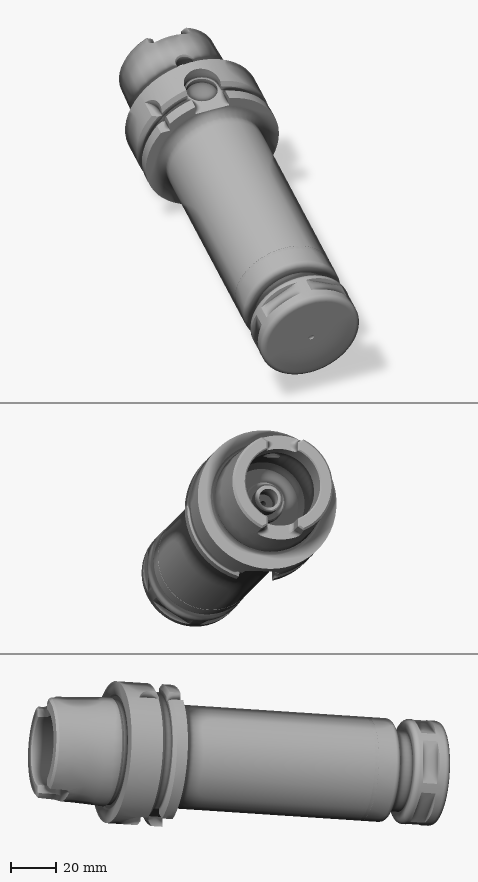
import cadquery as cq
import math

total_length = 182.0
overcut = 1.8

shank_end_chamfer = 1.1
mouth_edge_drop = 1.0
taper_end_x = 29.7
taper_large_radius = 24.2
taper_ratio = 0.05
relief_start_x = 30.8
relief_radius = 23.5
relief_face_depth = 0.4
relief_face_inner_radius = 25.0
relief_face_outer_radius = 25.7

flange_x = 31.8
flange_end_x = 57.9
flange_radius = 31.5
groove_start_x = 47.9
groove_end_x = 51.5
groove_radius = 27.3
groove_chamfer_length = 1.5
groove_chamfer_depth = 2.0

body_radius = 46.0 / 2
body_end_x = 159.0
body_end_round = 2.2
root_fillet = 3.1
ring_start_x = 147.0
ring_end_x = 148.7
ring_depth = 0.1
neck_radius = 18.0
nut_x = 165.6
nut_radius = 23.3
nut_back_round = 2.2
nut_front_round = 2.4

flat_count = 6
flat_distance = 42.4 / 2
flat_start_x = 169.5
flat_end_x = 176.0
flat_wall_slope = 0.3

bore_mouth_radius = 17.5
bore_radius = 17.0
bore_mouth_chamfer = 0.5
bore_step_x = 12.7
undercut_x = 13.6
undercut_radius = 18.0
cavity_cone_x = 36.4
cavity_depth = 40.0
cavity_floor_radius = 15.8

collar_radius = 18.0 / 2
collar_x = 36.4
collar_chamfer = 0.64
tube_radius = 6.0
tube_x = 29.1
tube_chamfer = 0.5
tube_bore_radius = 8.5 / 2
through_hole_radius = 1.3

mouth_slot_half_width = 13.6 / 2
mouth_slot_corner_radius = 2.2
mouth_slot_entry_chamfer = 0.7
mouth_slot_depth_top = 5.5
mouth_slot_depth_bottom = 10.0
slot_bevel_start_z = 19.1
slot_bevel_half_width = 9.6
slot_bevel_end_z = 20.7

clamp_hole_x = 23.1
clamp_hole_diameter = 7.5
clamp_sink_diameter = 9.0
clamp_sink_depth = 1.1

cutter_radius = 8.0
key_slot_x = 44.8
key_floor_z = 26.0
key_pocket_diameter = 14.0
key_pocket_depth = 2.4
notch_floor = 20.0


def outer_body():
    """Solid of revolution of the whole outside."""
    diagonal = math.sqrt(0.5)
    taper_small_radius = taper_large_radius - taper_ratio * (taper_end_x - shank_end_chamfer)
    groove_lip_radius = flange_radius - groove_chamfer_depth
    root_top = body_radius + root_fillet
    root_end_x = flange_end_x + root_fillet

    def round_middle(center_x, center_radius, side_x, side_radius, radius):
        return (center_x + side_x * radius * diagonal, center_radius + side_radius * radius * diagonal)

    root_mid = round_middle(root_end_x, root_top, -1, -1, root_fillet)
    body_mid = round_middle(body_end_x - body_end_round, body_radius - body_end_round, 1, 1, body_end_round)
    back_mid = round_middle(nut_x + nut_back_round, nut_radius - nut_back_round, -1, 1, nut_back_round)
    front_mid = round_middle(
        total_length - nut_front_round, nut_radius - nut_front_round, 1, 1, nut_front_round
    )
    profile = (
        cq.Workplane("XY")
        .moveTo(0, 0)
        .lineTo(0, taper_small_radius - mouth_edge_drop)
        .lineTo(shank_end_chamfer, taper_small_radius)
        .lineTo(taper_end_x, taper_large_radius)
        .lineTo(relief_start_x, relief_radius)
        .lineTo(flange_x + relief_face_depth, relief_radius)
        .lineTo(flange_x + relief_face_depth, relief_face_inner_radius)
        .lineTo(flange_x, relief_face_outer_radius)
        .lineTo(flange_x, flange_radius)
        .lineTo(groove_start_x - groove_chamfer_length, flange_radius)
        .lineTo(groove_start_x, groove_lip_radius)
        .lineTo(groove_start_x, groove_radius)
        .lineTo(groove_end_x, groove_radius)
        .lineTo(groove_end_x, groove_lip_radius)
        .lineTo(groove_end_x + groove_chamfer_length, flange_radius)
        .lineTo(flange_end_x, flange_radius)
        .lineTo(flange_end_x, root_top)
        .threePointArc(root_mid, (root_end_x, body_radius))
        .lineTo(ring_start_x, body_radius)
        .lineTo(ring_start_x, body_radius - ring_depth)
        .lineTo(ring_end_x, body_radius - ring_depth)
        .lineTo(ring_end_x, body_radius)
        .lineTo(body_end_x - body_end_round, body_radius)
        .threePointArc(body_mid, (body_end_x, body_radius - body_end_round))
        .lineTo(body_end_x, neck_radius)
        .lineTo(nut_x, neck_radius)
        .lineTo(nut_x, nut_radius - nut_back_round)
        .threePointArc(back_mid, (nut_x + nut_back_round, nut_radius))
        .lineTo(total_length - nut_front_round, nut_radius)
        .threePointArc(front_mid, (total_length, nut_radius - nut_front_round))
        .lineTo(total_length, 0)
        .close()
    )
    return profile.revolve(360, (0, 0, 0), (1, 0, 0))


def cavity():
    """Clamping cavity of the shank, shaped around the coolant tube and its collar."""
    points = [
        (0, 0),
        (0, bore_mouth_radius),
        (bore_mouth_chamfer, bore_radius),
        (bore_step_x, bore_radius),
        (undercut_x, undercut_radius),
        (cavity_cone_x, undercut_radius),
        (cavity_depth, cavity_floor_radius),
        (cavity_depth, collar_radius),
        (collar_x + collar_chamfer, collar_radius),
        (collar_x, collar_radius - collar_chamfer),
        (collar_x, tube_radius),
        (tube_x + tube_chamfer, tube_radius),
        (tube_x, tube_radius - tube_chamfer),
        (tube_x, tube_bore_radius),
        (cavity_depth, tube_bore_radius),
        (cavity_depth, 0),
    ]
    return cq.Workplane("XY").polyline(points).close().revolve(360, (0, 0, 0), (1, 0, 0))


def mouth_slot(depth):
    """Drive slot through the +Z wall of the shank mouth, with bevelled sides and a rounded floor."""
    top_z = taper_large_radius + overcut
    bevel_slope = (slot_bevel_half_width - mouth_slot_half_width) / (slot_bevel_end_z - slot_bevel_start_z)
    top_half_width = mouth_slot_half_width + bevel_slope * (top_z - slot_bevel_start_z)
    corners = [
        (-mouth_slot_half_width, 0),
        (mouth_slot_half_width, 0),
        (mouth_slot_half_width, slot_bevel_start_z),
        (top_half_width, top_z),
        (-top_half_width, top_z),
        (-mouth_slot_half_width, slot_bevel_start_z),
    ]
    slot = cq.Workplane("YZ").polyline(corners).close().extrude(depth)
    slot = slot.faces(">X").edges("not |Y").fillet(mouth_slot_corner_radius)
    entry = (
        cq.Workplane("YZ")
        .polyline(corners)
        .close()
        .offset2D(mouth_slot_entry_chamfer, "intersection")
        .extrude(mouth_slot_entry_chamfer, taper=45)
    )
    return slot.union(entry)


def milled_slot(center_y, floor_z):
    """Round-ended slot open towards the body, milled from +Z down to floor_z."""
    height = flange_radius + overcut - floor_z
    floor = cq.Workplane("XY", origin=(key_slot_x, center_y, floor_z))
    run_length = flange_end_x - key_slot_x
    run = floor.center(run_length / 2, 0).rect(run_length, 2 * cutter_radius).extrude(height)
    return floor.circle(cutter_radius).extrude(height).union(run)


def key_pocket():
    """Round pocket sunk into the floor of the +Z key slot."""
    bottom_z = key_floor_z - key_pocket_depth
    return (
        cq.Workplane("XY", origin=(key_slot_x, 0, bottom_z))
        .circle(key_pocket_diameter / 2)
        .extrude(flange_radius - bottom_z)
    )


def clamp_hole():
    """Countersunk radial hole from the +Z side of the taper into the cavity."""
    surface_z = taper_large_radius - taper_ratio * (taper_end_x - clamp_hole_x)
    sink_bottom_z = surface_z - clamp_sink_depth
    hole = cq.Workplane("XY").center(clamp_hole_x, 0).circle(clamp_hole_diameter / 2).extrude(surface_z)
    sink = (
        cq.Workplane("XY", origin=(clamp_hole_x, 0, sink_bottom_z))
        .circle(clamp_hole_diameter / 2)
        .workplane(offset=clamp_sink_depth)
        .circle(clamp_sink_diameter / 2)
        .loft()
    )
    rim = (
        cq.Workplane("XY", origin=(clamp_hole_x, 0, surface_z))
        .circle(clamp_sink_diameter / 2)
        .extrude(overcut)
    )
    return hole.union(sink).union(rim)


def wrench_flat(angle):
    """Cutter for one flat pocket of the nut, turned about X from the +Y side."""
    cutter_top = nut_radius + overcut
    top_offset = flat_wall_slope * (cutter_top - flat_distance)
    return (
        cq.Workplane("XY")
        .polyline([
            (flat_start_x, flat_distance),
            (flat_end_x, flat_distance),
            (flat_end_x + top_offset, cutter_top),
            (flat_start_x - top_offset, cutter_top),
        ])
        .close()
        .extrude(nut_radius, both=True)
        .rotate((0, 0, 0), (1, 0, 0), angle)
    )


def turned_over(shape):
    """Same shape on the opposite side of the X axis."""
    return shape.rotate((0, 0, 0), (1, 0, 0), 180)


result = outer_body().cut(cavity())
result = result.cut(cq.Workplane("YZ").circle(through_hole_radius).extrude(total_length))

result = result.cut(mouth_slot(mouth_slot_depth_top))
result = result.cut(turned_over(mouth_slot(mouth_slot_depth_bottom)))
result = result.cut(clamp_hole())

key_slot = milled_slot(0, key_floor_z)
result = result.cut(key_slot).cut(turned_over(key_slot)).cut(key_pocket())
result = result.cut(milled_slot(-notch_floor - cutter_radius, notch_floor))

for index in range(flat_count):
    result = result.cut(wrench_flat(index * 360 / flat_count))